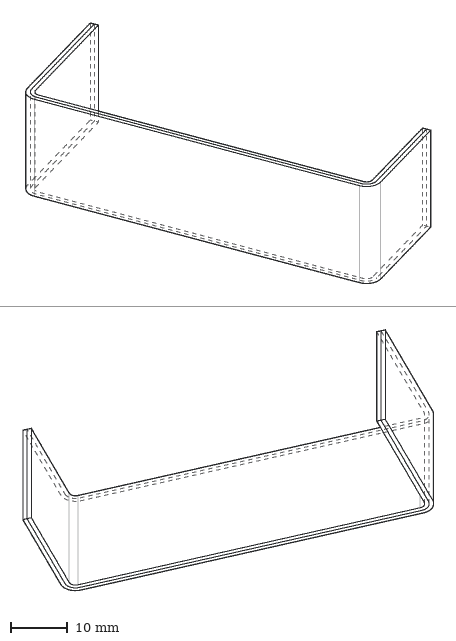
import cadquery as cq

length = 69.5
long_arm = 27.25
height = 20.0

arm_difference = 5.0
short_arm = long_arm - arm_difference

wall_thickness = 1.6
strip_thickness = wall_thickness / 2
outer_bend_radius = 2.8


def bent_strip(inset):
    """U-shaped strip whose outer faces lie inset from the outside of the bracket."""
    outer = inset
    inner = inset + strip_thickness
    outline = [
        (outer, long_arm),
        (outer, outer),
        (length - outer, outer),
        (length - outer, short_arm),
        (length - inner, short_arm),
        (length - inner, inner),
        (inner, inner),
        (inner, long_arm),
    ]
    strip = cq.Workplane("XY").polyline(outline).close().extrude(height)

    for face_inset in (outer, inner):
        bend_radius = outer_bend_radius - face_inset
        for corner_x in (face_inset, length - face_inset):
            corner = (corner_x, face_inset, height / 2)
            strip = strip.edges(cq.NearestToPointSelector(corner)).fillet(bend_radius)
    return strip


outer_strip = bent_strip(0)
inner_strip = bent_strip(strip_thickness)

result = cq.Compound.makeCompound([outer_strip.val(), inner_strip.val()])